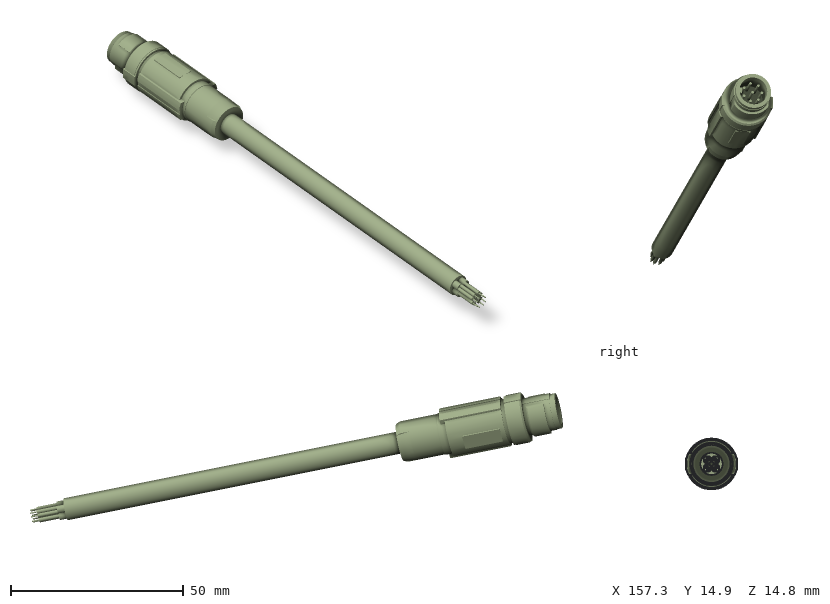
import cadquery as cq
import math


TOTAL_LENGTH = 157.3

NOSE_RADIUS = 5.2
INSERT_START = 1.5
INSERT_RADIUS = 5.5
LOWER_INSERT_RADIUS = 5.3
INSERT_LEDGE_Z = -1.1
LUG_RADIUS = 6.05
LUG_START = 3.3
LUG_END = 8.8
TOP_LUG_HALF_ANGLE = 37.0
BOTTOM_LUG_WIDTH = 10.0
LUG_REAR_CHAMFER = 0.6

BORE_RADIUS = 4.1
BORE_DEPTH = 7.9
PIN_RADIUS = 0.4
PIN_CIRCLE_RADIUS = 2.75
OUTER_PIN_COUNT = 7
PIN_SETBACK = 1.3
KEY_TIP = 3.3
KEY_WIDTH = 1.5

RING_START = 9.6
RING_END = 14.6
RING_RADIUS = 7.4
RING_CHAMFER = 0.5
RING_TAB_WIDTH = 3.3
RIM_START = 14.2
RIM_RADIUS = 7.2

NECK_RADIUS = 6.53
GRIP_START = 15.7
GRIP_END = 32.5
GRIP_RADIUS = 6.9
SIDE_REACH = 7.47
SIDE_PAD_WIDTH = 6.3
SIDE_PAD_END = 34.0
SIDE_GROOVE_WIDTH = 1.5
SIDE_GROOVE_DEPTH = 0.3
LABEL_START = 17.1
LABEL_END = 28.3
LABEL_WIDTH = 4.4

COLLAR_RADIUS = 6.1
SLEEVE_START = 34.9
SLEEVE_RADIUS = 6.0
TAPER_START = 43.4
SLEEVE_END = 47.3
TAPER_END_RADIUS = 5.5
REAR_PAD_CHAMFER_LENGTH = 1.3

CABLE_RADIUS = 3.22
CABLE_END = 147.0
PAIR_SHEATH_RADIUS = 1.1
PAIR_OFFSET = 1.18
SHEATH_END = 149.3
WIRE_SHIFT = 0.4
WIRE_RADIUS = 0.53
INSULATION_END = 155.3
CONDUCTOR_RADIUS = 0.19


def rod(start, end, radius, y=0, z=0):
    """Cylinder along X between two stations."""
    return cq.Workplane("YZ", origin=(start, y, z)).circle(radius).extrude(end - start)


def block(x_range, y_range, z_range):
    """Axis-aligned box given by its limits."""
    lows, highs = zip(x_range, y_range, z_range)
    sizes = [high - low for low, high in zip(lows, highs)]
    return cq.Workplane("XY", origin=lows).box(*sizes, centered=False)


def mirrored_in_y(shape):
    return shape.union(shape.mirror("XZ"))


def lug_envelope():
    return rod(LUG_START, LUG_END, LUG_RADIUS).faces(">X").chamfer(LUG_REAR_CHAMFER)


def top_lug():
    """Sector with radial sides, centred on +Z."""
    tangent = math.tan(math.radians(TOP_LUG_HALF_ANGLE))
    half_width = LUG_RADIUS * tangent
    wedge = (
        cq.Workplane("YZ", origin=(LUG_START, 0, 0))
        .polyline([(0, 0), (half_width, LUG_RADIUS), (-half_width, LUG_RADIUS)])
        .close()
        .extrude(LUG_END - LUG_START)
    )
    return lug_envelope().intersect(wedge)


def bottom_lug():
    """Wide lug with parallel sides, centred on -Z."""
    slab = block(
        (LUG_START, LUG_END), (-BOTTOM_LUG_WIDTH / 2, BOTTOM_LUG_WIDTH / 2), (-LUG_RADIUS, 0)
    )
    return lug_envelope().intersect(slab)


def make_insert():
    upper_half = block(
        (INSERT_START, RING_START), (-INSERT_RADIUS, INSERT_RADIUS), (INSERT_LEDGE_Z, INSERT_RADIUS)
    )
    insert = rod(INSERT_START, RING_START, INSERT_RADIUS).intersect(upper_half)
    insert = insert.union(rod(INSERT_START, RING_START, LOWER_INSERT_RADIUS))
    insert = insert.union(rod(0, RING_START, NOSE_RADIUS))
    insert = insert.union(top_lug()).union(bottom_lug())
    return insert.cut(rod(0, BORE_DEPTH, BORE_RADIUS))


def make_contacts():
    """One central pin, a circle of pins around it and the polarising key on the +Y bore wall."""
    contacts = rod(PIN_SETBACK, RING_START, PIN_RADIUS)
    for index in range(OUTER_PIN_COUNT):
        angle = math.pi + 2 * math.pi * index / OUTER_PIN_COUNT
        y = PIN_CIRCLE_RADIUS * math.cos(angle)
        z = PIN_CIRCLE_RADIUS * math.sin(angle)
        contacts = contacts.union(rod(PIN_SETBACK, RING_START, PIN_RADIUS, y, z))
    wall_middle = (BORE_RADIUS + NOSE_RADIUS) / 2
    key = block((0, RING_START), (KEY_TIP, wall_middle), (-KEY_WIDTH / 2, KEY_WIDTH / 2))
    return contacts.union(key)


def make_ring():
    ring = rod(RING_START, RIM_START, RING_RADIUS).faces("<X").chamfer(RING_CHAMFER)
    rim = rod(RIM_START, RING_END, RIM_RADIUS)
    tab = block(
        (RING_START, RING_END), (0, SIDE_REACH), (-RING_TAB_WIDTH / 2, RING_TAB_WIDTH / 2)
    )
    return ring.union(rim).union(mirrored_in_y(tab))


def make_grip():
    """Round grip with label pads on top and bottom and grooved pads on both sides."""
    grip = rod(GRIP_START, GRIP_END, GRIP_RADIUS)
    label = block(
        (LABEL_START, LABEL_END),
        (-LABEL_WIDTH / 2, LABEL_WIDTH / 2),
        (-GRIP_RADIUS, GRIP_RADIUS),
    )
    pad_span = (GRIP_START, SIDE_PAD_END)
    pad = block(pad_span, (0, SIDE_REACH), (-SIDE_PAD_WIDTH / 2, SIDE_PAD_WIDTH / 2))
    pad = pad.intersect(rod(GRIP_START, SIDE_PAD_END, SIDE_REACH))
    pad_groove = block(
        pad_span,
        (SIDE_REACH - SIDE_GROOVE_DEPTH, SIDE_REACH),
        (-SIDE_GROOVE_WIDTH / 2, SIDE_GROOVE_WIDTH / 2),
    )
    grip = grip.union(label).union(mirrored_in_y(pad.cut(pad_groove)))
    neck = rod(RING_END, GRIP_START, NECK_RADIUS)
    return grip.union(neck)


def make_sleeve():
    outline = [
        (GRIP_END, 0),
        (GRIP_END, COLLAR_RADIUS),
        (SLEEVE_START, COLLAR_RADIUS),
        (SLEEVE_START, SLEEVE_RADIUS),
        (TAPER_START, SLEEVE_RADIUS),
        (SLEEVE_END, TAPER_END_RADIUS),
        (SLEEVE_END, 0),
    ]
    sleeve = cq.Workplane("XY").polyline(outline).close().revolve(360, (0, 0), (1, 0))
    rear_pads = block(
        (TAPER_START, SLEEVE_END),
        (-SLEEVE_RADIUS, SLEEVE_RADIUS),
        (-SIDE_PAD_WIDTH / 2, SIDE_PAD_WIDTH / 2),
    )
    pad_envelope = rod(TAPER_START, SLEEVE_END, SLEEVE_RADIUS)
    pad_envelope = pad_envelope.faces(">X").edges().chamfer(
        REAR_PAD_CHAMFER_LENGTH, SLEEVE_RADIUS - TAPER_END_RADIUS
    )
    return sleeve.union(rear_pads.intersect(pad_envelope))


def make_wire(y, z):
    insulation = rod(SHEATH_END, INSULATION_END, WIRE_RADIUS, y, z)
    return insulation.union(rod(INSULATION_END, TOTAL_LENGTH, CONDUCTOR_RADIUS, y, z))


def make_cable():
    """Round jacket, then four sheathed pairs; the two wires of a pair sit side by side around the axis."""
    cable = rod(SLEEVE_END, CABLE_END, CABLE_RADIUS)
    for y_sign in (-1, 1):
        for z_sign in (-1, 1):
            pair_y = y_sign * PAIR_OFFSET
            pair_z = z_sign * PAIR_OFFSET
            cable = cable.union(rod(CABLE_END, SHEATH_END, PAIR_SHEATH_RADIUS, pair_y, pair_z))
            for shift in (-WIRE_SHIFT, WIRE_SHIFT):
                cable = cable.union(make_wire(pair_y + y_sign * shift, pair_z - z_sign * shift))
    return cable


result = make_insert().union(make_contacts())
for section in (make_ring(), make_grip(), make_sleeve(), make_cable()):
    result = result.union(section)